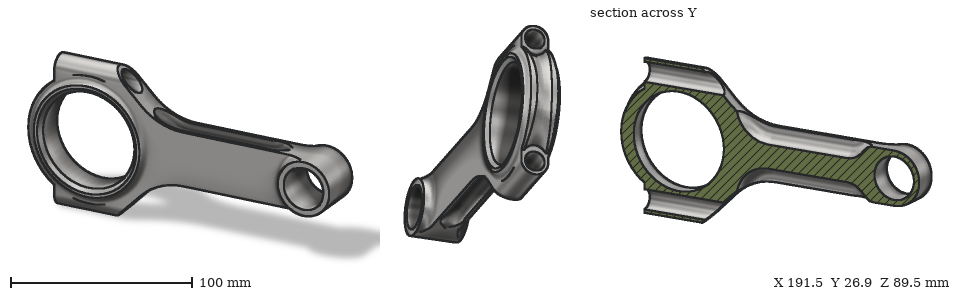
import math

import cadquery as cq

INCH = 25.4
OVERALL_LENGTH = 191.48
CUT_MARGIN = 1.0

BLADE_THICKNESS = 0.625 * INCH
BLADE_HALF = BLADE_THICKNESS / 2

CRANK_OUTER_RADIUS = 1.5 * INCH
CRANK_BORE_RADIUS = 1.125 * INCH
CRANK_WIDTH = 21.5
CRANK_RIM_RADIUS = 33.1
CRANK_BORE_CHAMFER = 2.5

PIN_WIDTH = 26.92
PIN_OUTER_RADIUS = 16.1
CENTRE_DISTANCE = OVERALL_LENGTH - CRANK_OUTER_RADIUS - PIN_OUTER_RADIUS
PIN_BORE_RADIUS = 12.4
HUB_FILLET_RADIUS = 0.1875 * INCH

BOLT_OFFSET = 1.45 * INCH
BOSS_RADIUS = BLADE_HALF
BOSS_FACE_X = -21.9
BOLT_HOLE_RADIUS = 5.7
BOSS_TOP = BOLT_OFFSET + BOSS_RADIUS

SHOULDER_RADIUS = 1.5 * INCH
SHOULDER_ANGLE = math.radians(45)
SLOPE_START_X = 14.7
SLOPE_END_Z = PIN_OUTER_RADIUS + SHOULDER_RADIUS * (1 - math.cos(SHOULDER_ANGLE))
SLOPE_END_X = SLOPE_START_X + (BOSS_TOP - SLOPE_END_Z) / math.tan(SHOULDER_ANGLE)
BEAM_START_X = SLOPE_END_X + SHOULDER_RADIUS * math.sin(SHOULDER_ANGLE)

POCKET_RADIUS = 0.25 * INCH
POCKET_DEPTH = 9.0
POCKET_START_X = 56.7
POCKET_END_X = 107.3
POCKET_TIP_X = 124.3
POCKET_ENTRY_RADIUS = 13.5
EXIT_FLOOR_PULL = 0.35
EXIT_TIP_PULL = 0.6

GROOVE_DEPTH = 1.15
GROOVE_HALF_WIDTH = 4.34
CLEARANCE_RADIUS = 7.9
CLEARANCE_CENTRE_X = -4.6
CLEARANCE_FLOOR_X = -36.92


def cylinder_y(radius, width, x=0.0):
    """Cylinder along Y, centred on the mid-plane."""
    return cq.Workplane("XZ", origin=(x, width / 2, 0)).circle(radius).extrude(width)


def make_blade():
    """Side outline of the rod, with the bolt bosses rounded over their full thickness."""
    mid_angle = SHOULDER_ANGLE / 2
    arc_mid = (
        BEAM_START_X - SHOULDER_RADIUS * math.sin(mid_angle),
        PIN_OUTER_RADIUS + SHOULDER_RADIUS * (1 - math.cos(mid_angle)),
    )
    upper_half = (
        cq.Workplane("XZ")
        .moveTo(BOSS_FACE_X, 0)
        .lineTo(BOSS_FACE_X, BOSS_TOP)
        .lineTo(SLOPE_START_X, BOSS_TOP)
        .lineTo(SLOPE_END_X, SLOPE_END_Z)
        .threePointArc(arc_mid, (BEAM_START_X, PIN_OUTER_RADIUS))
        .lineTo(CENTRE_DISTANCE, PIN_OUTER_RADIUS)
        .lineTo(CENTRE_DISTANCE, 0)
        .close()
        .extrude(BLADE_HALF, both=True)
    )
    outline = upper_half.union(upper_half.mirror("XY"))
    rounded_bar = (
        cq.Workplane("YZ", origin=(-CRANK_OUTER_RADIUS, 0, 0))
        .slot2D(2 * BOSS_TOP, BLADE_THICKNESS, 90)
        .extrude(OVERALL_LENGTH)
    )
    blade = outline.intersect(rounded_bar)
    return blade.union(cylinder_y(CRANK_OUTER_RADIUS, BLADE_THICKNESS))


def make_hub(rim_radius, width, x):
    """Round hub whose ends flare into the blade faces through concave fillets."""
    rise = min(width / 2 - BLADE_HALF, HUB_FILLET_RADIUS)
    spread = math.sqrt(HUB_FILLET_RADIUS**2 - (HUB_FILLET_RADIUS - rise) ** 2)
    arc_centre = (rim_radius + spread, BLADE_HALF + HUB_FILLET_RADIUS)
    mid_angle = math.atan2(spread, HUB_FILLET_RADIUS - rise) / 2
    arc_mid = (
        arc_centre[0] - HUB_FILLET_RADIUS * math.sin(mid_angle),
        arc_centre[1] - HUB_FILLET_RADIUS * math.cos(mid_angle),
    )
    flare = (
        cq.Workplane("XY", origin=(x, 0, 0))
        .moveTo(0, 0)
        .lineTo(rim_radius + spread, 0)
        .lineTo(rim_radius + spread, BLADE_HALF)
        .threePointArc(arc_mid, (rim_radius, BLADE_HALF + rise))
        .lineTo(0, BLADE_HALF + rise)
        .close()
        .revolve(360, (0, 0), (0, 1))
    )
    return flare.union(flare.mirror("XZ")).union(cylinder_y(rim_radius, width, x))


def make_pin_hub():
    """Pin hub with its flare trimmed flush with the beam and the round rod end."""
    hub = make_hub(PIN_OUTER_RADIUS, PIN_WIDTH, CENTRE_DISTANCE)
    reach = 2 * PIN_OUTER_RADIUS
    beam_side = cq.Workplane("XY").box(reach, PIN_WIDTH, 2 * PIN_OUTER_RADIUS)
    beam_side = beam_side.translate((CENTRE_DISTANCE - reach / 2, 0, 0))
    envelope = beam_side.union(cylinder_y(PIN_OUTER_RADIUS, PIN_WIDTH, CENTRE_DISTANCE))
    return hub.intersect(envelope)


def make_crank_bore():
    """Crank bore with a chamfer at each end."""
    half_width = CRANK_WIDTH / 2
    mouth = CRANK_BORE_RADIUS + CRANK_BORE_CHAMFER
    return (
        cq.Workplane("XY")
        .moveTo(0, -half_width)
        .lineTo(mouth, -half_width)
        .lineTo(CRANK_BORE_RADIUS, CRANK_BORE_CHAMFER - half_width)
        .lineTo(CRANK_BORE_RADIUS, half_width - CRANK_BORE_CHAMFER)
        .lineTo(mouth, half_width)
        .lineTo(0, half_width)
        .close()
        .revolve(360, (0, 0), (0, 1))
    )


def make_bolt_hole():
    """Bolt hole along the +Z boss, breaking out through the sloped shoulder."""
    start_x = BOSS_FACE_X - CUT_MARGIN
    return (
        cq.Workplane("YZ", origin=(start_x, 0, BOLT_OFFSET))
        .circle(BOLT_HOLE_RADIUS)
        .extrude(BEAM_START_X - start_x)
    )


def make_pocket():
    """Round-bottomed pocket in the +Z side of the beam, climbing out at both ends."""
    axis_z = PIN_OUTER_RADIUS - POCKET_DEPTH + POCKET_RADIUS
    entry_mid = math.radians(45)
    entry_end = (POCKET_START_X - POCKET_ENTRY_RADIUS, axis_z + POCKET_ENTRY_RADIUS)
    entry_arc_mid = (
        POCKET_START_X - POCKET_ENTRY_RADIUS * math.sin(entry_mid),
        axis_z + POCKET_ENTRY_RADIUS * (1 - math.cos(entry_mid)),
    )
    straight = (
        cq.Workplane("YZ", origin=(POCKET_START_X, 0, axis_z))
        .circle(POCKET_RADIUS)
        .extrude(POCKET_END_X - POCKET_START_X)
    )
    entry_path = (
        cq.Workplane("XZ").moveTo(POCKET_START_X, axis_z).threePointArc(entry_arc_mid, entry_end)
    )
    start_profile = cq.Workplane("YZ", origin=(POCKET_START_X, 0, axis_z)).circle(POCKET_RADIUS)
    entry = start_profile.sweep(entry_path)
    run_out_length = POCKET_TIP_X - POCKET_END_X
    tip_z = PIN_OUTER_RADIUS + POCKET_RADIUS
    exit_path = cq.Workplane("XZ").bezier(
        [
            (POCKET_END_X, axis_z),
            (POCKET_END_X + EXIT_FLOOR_PULL * run_out_length, axis_z),
            (POCKET_TIP_X - EXIT_TIP_PULL * run_out_length, tip_z),
            (POCKET_TIP_X, tip_z),
        ]
    )
    end_profile = cq.Workplane("YZ", origin=(POCKET_END_X, 0, axis_z)).circle(POCKET_RADIUS)
    run_out = end_profile.sweep(exit_path)
    return straight.union(entry).union(run_out)


def make_groove_ring(axis_x, path_radius, profile_radius):
    """Ring cutter round a Y axis, kept only in front of the boss faces."""
    ring = (
        cq.Workplane("XY")
        .center(axis_x - path_radius, 0)
        .circle(profile_radius)
        .revolve(360, (path_radius, 0), (path_radius, 1))
    )
    size = 4 * CRANK_OUTER_RADIUS
    keep = cq.Workplane("XY").box(size, size, size).translate((BOSS_FACE_X - size / 2, 0, 0))
    return ring.intersect(keep)


def make_cap_groove():
    """Shallow groove concentric with the crank bore, deepened towards each bolt boss."""
    groove_radius = (GROOVE_HALF_WIDTH**2 + GROOVE_DEPTH**2) / (2 * GROOVE_DEPTH)
    groove = make_groove_ring(0, CRANK_OUTER_RADIUS - GROOVE_DEPTH + groove_radius, groove_radius)
    clearance_path = CLEARANCE_CENTRE_X - CLEARANCE_FLOOR_X + CLEARANCE_RADIUS
    return groove.union(make_groove_ring(CLEARANCE_CENTRE_X, clearance_path, CLEARANCE_RADIUS))


result = make_blade()
result = result.union(make_hub(CRANK_RIM_RADIUS, CRANK_WIDTH, 0))
result = result.union(make_pin_hub())
result = result.cut(make_crank_bore())
result = result.cut(cylinder_y(PIN_BORE_RADIUS, PIN_WIDTH, CENTRE_DISTANCE))
bolt_hole = make_bolt_hole()
pocket = make_pocket()
for cutter in (bolt_hole, pocket):
    result = result.cut(cutter).cut(cutter.mirror("XY"))
result = result.cut(make_cap_groove())